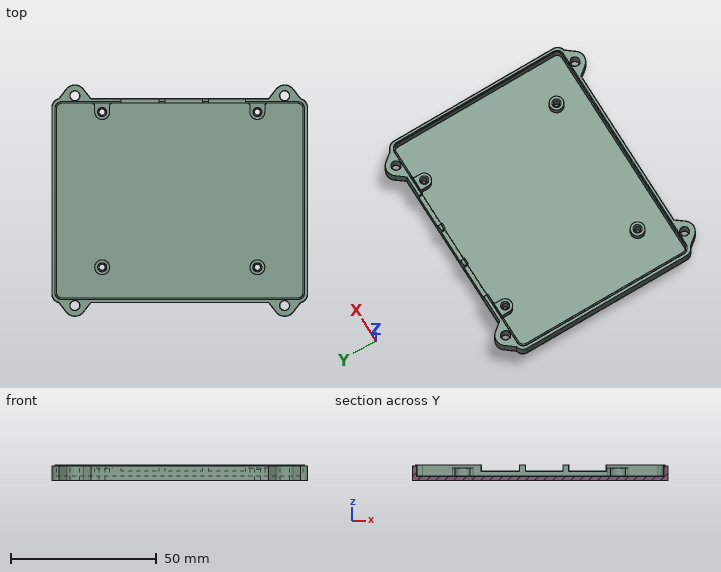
import cadquery as cq
import math

BODY_X = 87.82
BODY_Y = 70.1
OVERALL_Y = 79.47
TOTAL_HEIGHT = 5.4
LEDGE_HEIGHT = 5.0
FLOOR_THICKNESS = 1.5
CORNER_RADIUS = 3.0
WALL_THICKNESS = 1.55
LIP_CORNER_RADIUS = 2.45
CAVITY_CORNER_RADIUS = 2.0
LIP_INSET = 1.05

EAR_HOLE_DIAMETER = 3.35
EAR_RIM = 2.05
EAR_RADIUS = EAR_HOLE_DIAMETER / 2 + EAR_RIM
EAR_OFFSET = OVERALL_Y / 2 - EAR_RADIUS
EAR_BASE_HALF_WIDTH = 5.55
EAR_BASE_SINK = 0.1

STANDOFF_DIAMETER = 5.1
STANDOFF_HOLE_DIAMETER = 2.1
STANDOFF_CHAMFER = 0.5
STANDOFF_TOP = 4.3
STANDOFF_PITCH = 53.3
STANDOFF_GRID_CENTRE_Y = 3.775
WEB_FILLET = 1.0

OPENING_SILL = 3.2
OPENING_MIN_X = -20.2
OPENING_MAX_X = 22.6
TAB_WIDTH = 2.1
TAB_CENTRES_X = (-6.1, 8.8)


def rounded_block(inset, corner_radius, bottom, top):
    """Block following the body outline, moved inwards by inset."""
    return (
        cq.Workplane("XY", origin=(0, 0, bottom))
        .rect(BODY_X - 2 * inset, BODY_Y - 2 * inset)
        .extrude(top - bottom)
        .edges("|Z")
        .fillet(corner_radius)
    )


def box_between(x_min, x_max, y_min, y_max, bottom, top):
    """Axis-aligned box given by its limits."""
    size = (x_max - x_min, y_max - y_min, top - bottom)
    return cq.Workplane("XY").box(*size, centered=False).translate((x_min, y_min, bottom))


def ear():
    """Ear at +X +Y: an arc about the hole, running tangent to a wider base."""
    base_y = BODY_Y / 2 - EAR_BASE_SINK
    base_drop = EAR_OFFSET - base_y
    base_distance = math.hypot(EAR_BASE_HALF_WIDTH, base_drop)
    tangent_angle = math.acos(EAR_RADIUS / base_distance) - math.atan2(base_drop, EAR_BASE_HALF_WIDTH)
    tangent_x = EAR_RADIUS * math.cos(tangent_angle)
    tangent_y = EAR_OFFSET + EAR_RADIUS * math.sin(tangent_angle)
    return (
        cq.Workplane("XY")
        .moveTo(EAR_OFFSET + EAR_BASE_HALF_WIDTH, base_y)
        .lineTo(EAR_OFFSET + tangent_x, tangent_y)
        .threePointArc((EAR_OFFSET, EAR_OFFSET + EAR_RADIUS), (EAR_OFFSET - tangent_x, tangent_y))
        .lineTo(EAR_OFFSET - EAR_BASE_HALF_WIDTH, base_y)
        .close()
        .extrude(LEDGE_HEIGHT)
    )


def tray():
    """Open tray with a stepped wall: a wide ledge and a narrower lip above it."""
    base = rounded_block(0, CORNER_RADIUS, 0, LEDGE_HEIGHT)
    right_ear = ear()
    back_ears = right_ear.union(right_ear.mirror("YZ"))
    base = base.union(back_ears).union(back_ears.mirror("XZ"))
    lip = rounded_block(LIP_INSET, LIP_CORNER_RADIUS, LEDGE_HEIGHT, TOTAL_HEIGHT)
    cavity = rounded_block(WALL_THICKNESS, CAVITY_CORNER_RADIUS, FLOOR_THICKNESS, TOTAL_HEIGHT)
    return base.union(lip).cut(cavity)


def opening():
    """Notch through the +Y wall, interrupted by upright tabs."""
    outer_y = BODY_Y / 2
    inner_y = outer_y - WALL_THICKNESS
    notch = box_between(OPENING_MIN_X, OPENING_MAX_X, inner_y, outer_y, OPENING_SILL, TOTAL_HEIGHT)
    for x in TAB_CENTRES_X:
        tab = box_between(x - TAB_WIDTH / 2, x + TAB_WIDTH / 2, inner_y, outer_y, OPENING_SILL, TOTAL_HEIGHT)
        notch = notch.cut(tab)
    return notch


def standoff(x, y):
    """Round post rising from the tray floor."""
    return (
        cq.Workplane("XY", origin=(x, y, FLOOR_THICKNESS))
        .circle(STANDOFF_DIAMETER / 2)
        .extrude(STANDOFF_TOP - FLOOR_THICKNESS)
    )


def web(x, y):
    """Web joining a standoff to the +Y wall, flared by a fillet on each side."""
    half_width = STANDOFF_DIAMETER / 2
    wall_y = BODY_Y / 2 - WALL_THICKNESS
    flare = WEB_FILLET * (1 - math.sqrt(0.5))
    return (
        cq.Workplane("XY", origin=(x, 0, FLOOR_THICKNESS))
        .moveTo(-half_width, y)
        .lineTo(half_width, y)
        .lineTo(half_width, wall_y - WEB_FILLET)
        .threePointArc((half_width + flare, wall_y - flare), (half_width + WEB_FILLET, wall_y))
        .lineTo(-half_width - WEB_FILLET, wall_y)
        .threePointArc((-half_width - flare, wall_y - flare), (-half_width, wall_y - WEB_FILLET))
        .close()
        .extrude(STANDOFF_TOP - FLOOR_THICKNESS)
    )


def drill(body, points, diameter):
    """Cut round holes through the full height of the part."""
    holes = cq.Workplane("XY").pushPoints(points).circle(diameter / 2)
    return body.cut(holes.extrude(TOTAL_HEIGHT))


def countersinks(points):
    """Cones that chamfer the upper rim of the standoff holes."""
    hole_radius = STANDOFF_HOLE_DIAMETER / 2
    cone = cq.Solid.makeCone(hole_radius, hole_radius + STANDOFF_CHAMFER, STANDOFF_CHAMFER)
    bottom = STANDOFF_TOP - STANDOFF_CHAMFER
    return cq.Workplane("XY", origin=(0, 0, bottom)).pushPoints(points).eachpoint(lambda place: cone.moved(place))


ear_points = [(sx * EAR_OFFSET, sy * EAR_OFFSET) for sx in (-1, 1) for sy in (-1, 1)]
standoff_xs = [side * STANDOFF_PITCH / 2 for side in (-1, 1)]
front_y = STANDOFF_GRID_CENTRE_Y - STANDOFF_PITCH / 2
back_y = STANDOFF_GRID_CENTRE_Y + STANDOFF_PITCH / 2
standoff_points = [(x, y) for x in standoff_xs for y in (front_y, back_y)]

result = tray().cut(opening())
for x, y in standoff_points:
    result = result.union(standoff(x, y))
for x in standoff_xs:
    result = result.union(web(x, back_y))
result = drill(result, ear_points, EAR_HOLE_DIAMETER)
result = drill(result, standoff_points, STANDOFF_HOLE_DIAMETER)
result = result.cut(countersinks(standoff_points))